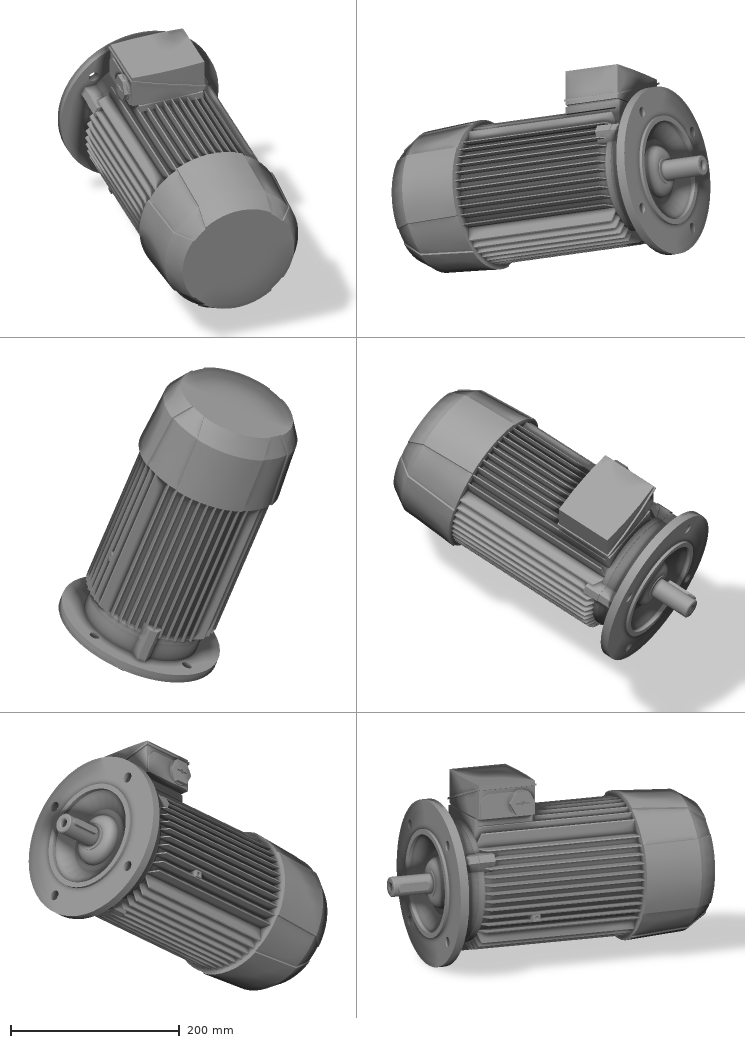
import cadquery as cq
import math


SPIGOT_X = 45.5
FLANGE_X = 49.0
BELL_X = 60.0
BELL_RIM_X = 84.0
FIN_X = 91.0
COWL_X = 292.0
COWL_SHOULDER_X = 364.0
LENGTH = 387.0
OVERLAP = 4.0

SHAFT_R = 12.0
SHAFT_CHAMFER = 1.0
CENTRE_HOLE_R = 4.5
CENTRE_HOLE_DEPTH = 19.5
CENTRE_HOLE_CHAMFER = 1.5
KEY_X = 4.5
KEY_LENGTH = 40.0
KEY_WIDTH = 8.0
KEY_TOP = 15.0

FLANGE_R = 200.0 / 2
SPIGOT_R = 65.0
RECESS_RIM_R = 59.0
RECESS_LIP_DEPTH = 5.5
RECESS_FLOOR_R = 39.0
RECESS_FLOOR_X = 63.5
COLLAR_R = 16.0
COLLAR_X = 50.5
DOME_R = 31.5
DOME_HEIGHT = 12.0
BOLT_OFFSET = 58.5
BOLT_HOLE_R = 6.0

BELL_R = 72.0
BELL_RIM_R = 72.8
LUG_END_X = 104.0
LUG_TIP_R = 84.5
LUG_STEP = 1.0
LUG_TIP_WIDTH = 9.3
LUG_DRAFT = 30
LUG_ROOT_R = 71.0
LUG_BASE_R = 62.0
LUG_ANGLES = (30, 150, 270)

CORE_R = 70.5
FIN_TIP_R = 83.2
FIN_BEVEL_R = 74.3
FIN_BEVEL_LENGTH = 5.5
FIN_COUNT_EACH_SIDE = 5
OUTER_FIN_OFFSET = 50.0
FIN_PITCH = OUTER_FIN_OFFSET / FIN_COUNT_EACH_SIDE
FIN_THICKNESS = 1.35

COWL_R = 89.5
COWL_SHOULDER_R = 84.8
COWL_END_R = 71.0
COWL_STEP = 1.75
COWL_BAND_HALF_WIDTH = 41.8

OVERALL_HEIGHT = 226.0
BOX_TOP_Z = OVERALL_HEIGHT - FLANGE_R
BOX_BOTTOM_Z = 84.8
BOX_X1, BOX_X2 = 93.0, 164.5
BOX_Y1, BOX_Y2 = -50.0, 42.0
BOX_BULGE = 2.0
GASKET_X1, GASKET_X2 = 91.0, 165.5
GASKET_Y1, GASKET_Y2 = -52.0, 43.5
GASKET_FRONT_Z = 120.5
GASKET_SLOPE = 0.33
GASKET_THICKNESS = 2.5
NECK_INSET = 1.0
PEDESTAL_TOP_Z = 83.0
PEDESTAL_BOTTOM_Z = 74.3
APRON_BOTTOM_Z = 60.0
PEDESTAL_FIN = 4
PANEL_X1, PANEL_X2 = 94.5, 161.5
PANEL_TOP_Z = 115.0
PANEL_CORNER_R = 14.5

PLUG_X, PLUG_Z = 146.0, 101.5
PLUG_DISC_R = 15.5
PLUG_DISC_Y = -53.5
PLUG_HEX_ACROSS_FLATS = 27.5
PLUG_FACE_Y = -58.0
PLUG_SLOT_LENGTH = 17.5
PLUG_SLOT_WIDTH = 2.0
PLUG_DIMPLE_R = 2.7
PLUG_SLOT_DEPTH = 1.5

EARTH_X, EARTH_Z = 156.7, -35.5
EARTH_LENGTH = 9.3
EARTH_HEIGHT = 8.5
EARTH_FACE_Y = -75.0
EARTH_HOLE_R = 2.7
EARTH_HOLE_DEPTH = 4.0
EARTH_BASE_Y = -58.0


def box(x1, x2, y1, y2, z1, z2):
    """Block given by its limits on each axis."""
    return cq.Workplane("XY").box(x2 - x1, y2 - y1, z2 - z1, centered=False).translate((x1, y1, z1))


def revolve_about_shaft(points):
    """Solid turned about X from an outline of (x, radius) points."""
    return cq.Workplane("XY").polyline(points).close().revolve(360, (0, 0, 0), (1, 0, 0))


def front_plane(y, x=0.0, z=0.0):
    """Workplane facing -Y, with local x along X and local y along Z."""
    return cq.Workplane("XZ", origin=(x, y, z))


def make_shaft():
    shaft = cq.Workplane("YZ").circle(SHAFT_R).extrude(RECESS_FLOOR_X + OVERLAP)
    shaft = shaft.faces("<X").chamfer(SHAFT_CHAMFER)
    key = (
        front_plane(0, KEY_X + KEY_LENGTH / 2)
        .slot2D(KEY_LENGTH, KEY_WIDTH)
        .extrude(KEY_TOP)
    )
    mouth_r = CENTRE_HOLE_R + CENTRE_HOLE_CHAMFER
    centre_hole = revolve_about_shaft([
        (0, 0),
        (0, mouth_r),
        (CENTRE_HOLE_CHAMFER, CENTRE_HOLE_R),
        (CENTRE_HOLE_DEPTH, CENTRE_HOLE_R),
        (CENTRE_HOLE_DEPTH + CENTRE_HOLE_R, 0),
    ])
    return shaft.union(key).cut(centre_hole)


def make_front_end():
    """Spigot, flange and bell turned in one piece, with a domed recess around the shaft."""
    dome_top_x = RECESS_FLOOR_X - DOME_HEIGHT
    bulge_x = RECESS_FLOOR_X - DOME_HEIGHT * math.sqrt(0.5)
    bulge_r = COLLAR_R + (DOME_R - COLLAR_R) * math.sqrt(0.5)
    front_end = (
        cq.Workplane("XY")
        .moveTo(FIN_X + OVERLAP, 0)
        .lineTo(COLLAR_X, 0)
        .lineTo(COLLAR_X, COLLAR_R)
        .lineTo(dome_top_x, COLLAR_R)
        .threePointArc((bulge_x, bulge_r), (RECESS_FLOOR_X, DOME_R))
        .lineTo(RECESS_FLOOR_X, RECESS_FLOOR_R)
        .lineTo(SPIGOT_X + RECESS_LIP_DEPTH, RECESS_RIM_R)
        .lineTo(SPIGOT_X, RECESS_RIM_R)
        .lineTo(SPIGOT_X, SPIGOT_R)
        .lineTo(FLANGE_X, SPIGOT_R)
        .lineTo(FLANGE_X, FLANGE_R)
        .lineTo(BELL_X, FLANGE_R)
        .lineTo(BELL_X, BELL_R)
        .lineTo(BELL_RIM_X, BELL_R)
        .lineTo(BELL_RIM_X, BELL_RIM_R)
        .lineTo(FIN_X, BELL_RIM_R)
        .lineTo(FIN_X + OVERLAP, CORE_R)
        .close()
        .revolve(360, (0, 0, 0), (1, 0, 0))
    )
    bolt_holes = (
        cq.Workplane("YZ", origin=(FLANGE_X, 0, 0))
        .rect(2 * BOLT_OFFSET, 2 * BOLT_OFFSET, forConstruction=True)
        .vertices()
        .circle(BOLT_HOLE_R)
        .extrude(BELL_X - FLANGE_X)
    )
    return front_end.cut(bolt_holes)


def make_lug(x1, x2, tip_r):
    """Lug pointing along +Y whose flanks widen down to a straight base sunk in the bell."""
    tip_half = LUG_TIP_WIDTH / 2
    root_half = tip_half + (tip_r - LUG_ROOT_R) * math.tan(math.radians(LUG_DRAFT))
    return (
        cq.Workplane("YZ", origin=(x1, 0, 0))
        .polyline([
            (tip_r, -tip_half),
            (tip_r, tip_half),
            (LUG_ROOT_R, root_half),
            (LUG_BASE_R, root_half),
            (LUG_BASE_R, -root_half),
            (LUG_ROOT_R, -root_half),
        ])
        .close()
        .extrude(x2 - x1)
    )


def make_lugs():
    lug = make_lug(BELL_X, BELL_RIM_X, LUG_TIP_R - LUG_STEP)
    lug = lug.union(make_lug(BELL_RIM_X, LUG_END_X, LUG_TIP_R))
    lugs = cq.Workplane("XY")
    for angle in LUG_ANGLES:
        lugs = lugs.union(lug.rotate((0, 0, 0), (1, 0, 0), angle))
    return lugs


def make_housing():
    """Round core with straight fins: upright above and below, level at both sides."""
    fin_end_x = COWL_X + OVERLAP
    half = FIN_THICKNESS / 2
    fins = cq.Workplane("XY")
    for index in range(-FIN_COUNT_EACH_SIDE, FIN_COUNT_EACH_SIDE + 1):
        place = index * FIN_PITCH
        fins = fins.union(box(FIN_X, fin_end_x, place - half, place + half, -FIN_TIP_R, FIN_TIP_R))
        fins = fins.union(box(FIN_X, fin_end_x, -FIN_TIP_R, FIN_TIP_R, place - half, place + half))
    envelope = revolve_about_shaft([
        (FIN_X, 0),
        (FIN_X, FIN_BEVEL_R),
        (FIN_X + FIN_BEVEL_LENGTH, FIN_TIP_R),
        (fin_end_x, FIN_TIP_R),
        (fin_end_x, 0),
    ])
    core = cq.Workplane("YZ", origin=(FIN_X, 0, 0)).circle(CORE_R).extrude(fin_end_x - FIN_X)
    return core.union(fins.intersect(envelope))


def cowl_shell(inset):
    return revolve_about_shaft([
        (COWL_X, 0),
        (COWL_X, COWL_R - inset),
        (COWL_SHOULDER_X, COWL_SHOULDER_R - inset),
        (LENGTH, COWL_END_R - inset),
        (LENGTH, 0),
    ])


def make_cowl():
    """Tapered cowl with four raised bands and set-back corners between them."""
    w = COWL_BAND_HALF_WIDTH
    bands = box(COWL_X, LENGTH, -w, w, -COWL_R, COWL_R)
    bands = bands.union(box(COWL_X, LENGTH, -COWL_R, COWL_R, -w, w))
    return cowl_shell(COWL_STEP).union(cowl_shell(0).intersect(bands))


def bulged_block(x1, x2, y1, y2, bulge):
    """Upright block as tall as the terminal box, with its two X sides bowed outwards."""
    y_mid = (y1 + y2) / 2
    return (
        cq.Workplane("XY", origin=(0, 0, BOX_BOTTOM_Z))
        .moveTo(x1, y1)
        .lineTo(x2, y1)
        .threePointArc((x2 + bulge, y_mid), (x2, y2))
        .lineTo(x1, y2)
        .threePointArc((x1 - bulge, y_mid), (x1, y1))
        .close()
        .extrude(BOX_TOP_Z - BOX_BOTTOM_Z)
    )


def make_gasket():
    """Sloping seam between box and lid, standing proud all round."""
    back_z = GASKET_FRONT_Z - GASKET_SLOPE * (GASKET_Y2 - GASKET_Y1)
    slab_x1 = GASKET_X1 - 2 * BOX_BULGE
    slab_x2 = GASKET_X2 + 2 * BOX_BULGE
    slab = (
        cq.Workplane("YZ", origin=(slab_x1, 0, 0))
        .polyline([
            (GASKET_Y1, GASKET_FRONT_Z),
            (GASKET_Y2, back_z),
            (GASKET_Y2, back_z + GASKET_THICKNESS),
            (GASKET_Y1, GASKET_FRONT_Z + GASKET_THICKNESS),
        ])
        .close()
        .extrude(slab_x2 - slab_x1)
    )
    return bulged_block(GASKET_X1, GASKET_X2, GASKET_Y1, GASKET_Y2, BOX_BULGE).intersect(slab)


def make_plug():
    hex_corner_diameter = PLUG_HEX_ACROSS_FLATS / math.cos(math.radians(30))
    disc = front_plane(BOX_Y1, PLUG_X, PLUG_Z).circle(PLUG_DISC_R).extrude(BOX_Y1 - PLUG_DISC_Y)
    head = (
        front_plane(BOX_Y1, PLUG_X, PLUG_Z)
        .polygon(6, hex_corner_diameter)
        .extrude(BOX_Y1 - PLUG_FACE_Y)
    )
    slot = front_plane(PLUG_FACE_Y, PLUG_X, PLUG_Z).rect(PLUG_SLOT_LENGTH, PLUG_SLOT_WIDTH)
    dimple = front_plane(PLUG_FACE_Y, PLUG_X, PLUG_Z).circle(PLUG_DIMPLE_R)
    return disc.union(head).cut(slot.extrude(-PLUG_SLOT_DEPTH)).cut(dimple.extrude(-PLUG_SLOT_DEPTH))


def make_terminal_box():
    body = bulged_block(BOX_X1, BOX_X2, BOX_Y1, BOX_Y2, BOX_BULGE)
    pedestal_y = PEDESTAL_FIN * FIN_PITCH + FIN_THICKNESS / 2
    neck = box(
        BOX_X1 + NECK_INSET, BOX_X2 - NECK_INSET,
        -pedestal_y + NECK_INSET, pedestal_y - NECK_INSET,
        PEDESTAL_TOP_Z, BOX_BOTTOM_Z,
    )
    pedestal = box(FIN_X, GASKET_X2, -pedestal_y, pedestal_y, PEDESTAL_BOTTOM_Z, PEDESTAL_TOP_Z)
    apron_x2 = FIN_X + FIN_BEVEL_LENGTH
    apron = box(FIN_X, apron_x2, -pedestal_y, pedestal_y, APRON_BOTTOM_Z, PEDESTAL_BOTTOM_Z)
    panel = box(PANEL_X1, PANEL_X2, GASKET_Y1, BOX_Y1, BOX_BOTTOM_Z, PANEL_TOP_Z)
    panel = panel.edges("|Y and >Z").fillet(PANEL_CORNER_R)
    support = neck.union(pedestal).union(apron)
    return body.union(support).union(panel).union(make_gasket()).union(make_plug())


def make_earth_terminal():
    block = box(
        EARTH_X - EARTH_LENGTH / 2, EARTH_X + EARTH_LENGTH / 2,
        EARTH_FACE_Y, EARTH_BASE_Y,
        EARTH_Z - EARTH_HEIGHT / 2, EARTH_Z + EARTH_HEIGHT / 2,
    )
    hole = front_plane(EARTH_FACE_Y, EARTH_X, EARTH_Z).circle(EARTH_HOLE_R).extrude(-EARTH_HOLE_DEPTH)
    return block.cut(hole)


result = (
    make_front_end()
    .union(make_shaft())
    .union(make_lugs())
    .union(make_housing())
    .union(make_cowl())
    .union(make_terminal_box())
    .union(make_earth_terminal())
)